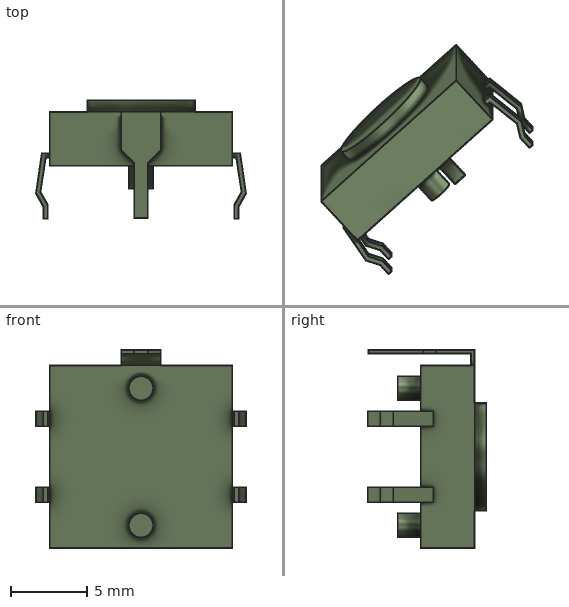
import cadquery as cq

housing_side = 12.0
housing_depth = 3.55
cover_thickness = 0.25
base_depth = housing_depth - cover_thickness

button_diameter = 7.1
button_height = 0.77

peg_diameter = 1.6
peg_length = 1.5
peg_offset = 4.5

tab_width = 2.6
tab_rise = 1.02
tail_width = 0.9
tail_end = -3.42
shoulder_start = 1.02
shoulder_drop = (tab_width - tail_width) / 2

pin_width = 1.0
pin_thickness = 0.3
pin_offset = 2.5
pin_root = 0.84
pin_end = -3.48
pin_bend_x = 6.51
pin_knee_x = 6.9
pin_knee_y = -1.81
pin_foot_x = 6.42
pin_foot_y = -2.66
inner_bend_x = 6.25
inner_knee_x = 6.6
inner_knee_y = -1.71
inner_foot_y = -2.58
pin_embed = 0.14


def block(width, depth, height, y_start, z_center):
    """Box centred on X that runs toward +Y from y_start."""
    return cq.Workplane("XY").box(width, depth, height).translate((0, y_start + depth / 2, z_center))


def cylinder(diameter, y_start, length, z_center):
    """Cylinder along Y; a negative length runs toward -Y."""
    plane = cq.Workplane("XZ", origin=(0, y_start, z_center))
    return plane.circle(diameter / 2).extrude(-length)


def make_tab():
    """Upright strip of the tab and its tapered tail, folded toward -Y."""
    upright = block(tab_width, cover_thickness, tab_rise, base_depth, (housing_side + tab_rise) / 2)
    right_edge = [
        (tab_width / 2, housing_depth),
        (tab_width / 2, shoulder_start),
        (tail_width / 2, shoulder_start - shoulder_drop),
        (tail_width / 2, tail_end),
    ]
    left_edge = [(-x, y) for x, y in reversed(right_edge)]
    tail_bottom = housing_side / 2 + tab_rise - cover_thickness
    tail = cq.Workplane("XY").workplane(offset=tail_bottom).polyline(right_edge + left_edge).close()
    return upright.union(tail.extrude(cover_thickness))


def make_pin(side, z_center):
    """Pin bent outward and back; side is +1 or -1 along X."""
    root_x = housing_side / 2 - pin_embed
    outer = [
        (root_x, pin_root),
        (pin_bend_x, pin_root),
        (pin_knee_x, pin_knee_y),
        (pin_foot_x, pin_foot_y),
        (pin_foot_x, pin_end),
    ]
    inner = [
        (pin_foot_x - pin_thickness, pin_end),
        (pin_foot_x - pin_thickness, inner_foot_y),
        (inner_knee_x, inner_knee_y),
        (inner_bend_x, pin_root - pin_thickness),
        (root_x, pin_root - pin_thickness),
    ]
    profile = [(side * x, y) for x, y in outer + inner]
    plane = cq.Workplane("XY").workplane(offset=z_center - pin_width / 2)
    return plane.polyline(profile).close().extrude(pin_width)


result = block(housing_side, housing_depth, housing_side, 0, 0)
result = result.union(cylinder(button_diameter, housing_depth, button_height, 0))
result = result.union(make_tab())
for end in (-1, 1):
    result = result.union(cylinder(peg_diameter, 0, -peg_length, end * peg_offset))
    for side in (-1, 1):
        result = result.union(make_pin(side, end * pin_offset))